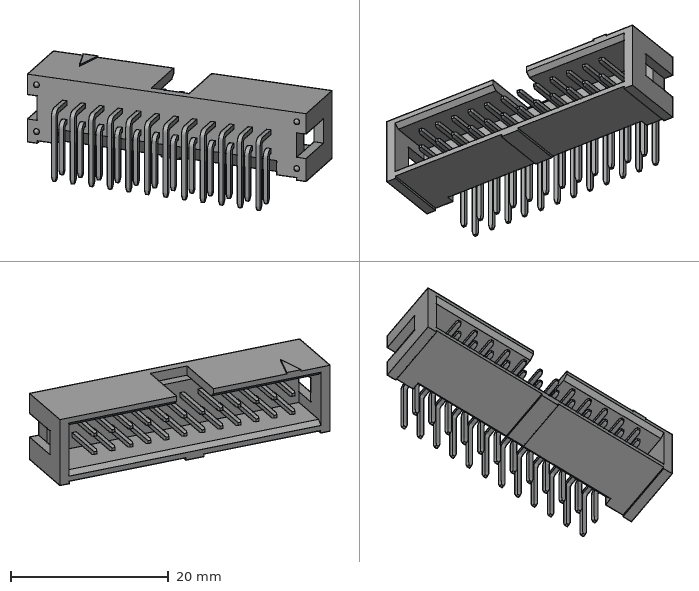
import cadquery as cq

LENGTH = 38.1
DEPTH = 8.9
FOOT_HEIGHT = 0.35
SHELL_HEIGHT = 8.88
WALL = 1.3
FLOOR_THICKNESS = 2.5
MID_Z = FOOT_HEIGHT + SHELL_HEIGHT / 2
TOP_Z = FOOT_HEIGHT + SHELL_HEIGHT
FOOT_LENGTH = 1.35
MIDDLE_FOOT_LENGTH = 2.55

BEVEL_DEPTH = 0.7
BEVEL_RISE = 0.57

KEY_WIDTH = 5.2
KEY_DEPTH = 7.7
SIDE_SLOT_HEIGHT = 3.3
SIDE_SLOT_LENGTH = 5.95
RELIEF_LENGTH = 30.02
RELIEF_HEIGHT = 1.95
RELIEF_TOP_Z = FOOT_HEIGHT + RELIEF_HEIGHT
RELIEF_DEPTH = 1.35

ARROW_WIDTH = 2.02
ARROW_LENGTH = 3.9
ARROW_HEIGHT = 0.2
BUMP_RADIUS = 0.4
BUMP_EDGE_OFFSET = 1.25

PIN_COLUMNS = 12
PIN_SPAN = 27.93
PIN_PITCH = PIN_SPAN / (PIN_COLUMNS - 1)
PIN_WIDTH = 0.6
PIN_END_GAP = 0.15
PIN_BOTTOM_Z = -3.35
LEG_TIP_LENGTH = 0.57
CONTACT_TIP_LENGTH = 0.4
TIP_WIDTH = 0.4
LEG_REACH = 3.75
OUTER_LEG_Y = PIN_WIDTH / 2 - LEG_REACH
INNER_LEG_Y = OUTER_LEG_Y + PIN_PITCH
BEND_RADIUS = 0.65


def block(x_size, y_range, z_range, x_centre=0.0):
    """Box given by its X size and centre and by its Y and Z limits."""
    y_low, y_high = y_range
    z_low, z_high = z_range
    return cq.Workplane("XY").box(
        x_size, y_high - y_low, z_high - z_low, centered=(True, False, False)
    ).translate((x_centre, y_low, z_low))


def make_shell():
    """Box with feet, open at the mating face, which has a bevelled rim above and below."""
    shell = block(LENGTH, (0, DEPTH), (FOOT_HEIGHT, TOP_Z))
    end_foot_x = (LENGTH - FOOT_LENGTH) / 2
    feet = ((-end_foot_x, FOOT_LENGTH), (0, MIDDLE_FOOT_LENGTH), (end_foot_x, FOOT_LENGTH))
    for x, foot_length in feet:
        shell = shell.union(block(foot_length, (0, DEPTH), (0, FOOT_HEIGHT + WALL / 2), x))

    half_cavity = SHELL_HEIGHT / 2 - WALL
    half_mouth = half_cavity + BEVEL_RISE
    bevel_y = DEPTH - BEVEL_DEPTH
    cavity = (
        cq.Workplane("YZ")
        .moveTo(FLOOR_THICKNESS, MID_Z - half_cavity)
        .lineTo(bevel_y, MID_Z - half_cavity)
        .lineTo(DEPTH, MID_Z - half_mouth)
        .lineTo(DEPTH, MID_Z + half_mouth)
        .lineTo(bevel_y, MID_Z + half_cavity)
        .lineTo(FLOOR_THICKNESS, MID_Z + half_cavity)
        .close()
        .extrude(LENGTH / 2 - WALL, both=True)
    )
    return shell.cut(cavity)


def cut_openings(shell):
    """Key notch in the top wall, a slot at each end and the sloped relief under the legs."""
    key = block(KEY_WIDTH, (DEPTH - KEY_DEPTH, DEPTH), (TOP_Z - WALL, TOP_Z))
    shell = shell.cut(key)

    slot_z = (MID_Z - SIDE_SLOT_HEIGHT / 2, MID_Z + SIDE_SLOT_HEIGHT / 2)
    for side in (-1, 1):
        slot_x = side * (LENGTH - WALL) / 2
        shell = shell.cut(block(WALL, (0, SIDE_SLOT_LENGTH), slot_z, slot_x))

    relief = (
        cq.Workplane("YZ")
        .polyline([(0, RELIEF_TOP_Z), (RELIEF_DEPTH, 0), (0, 0)])
        .close()
        .extrude(RELIEF_LENGTH / 2, both=True)
    )
    return shell.cut(relief)


def make_arrow():
    """Flat triangle on the top wall marking the first contact column."""
    return (
        cq.Workplane("XY", origin=(-PIN_SPAN / 2, DEPTH, TOP_Z))
        .polyline([(-ARROW_WIDTH / 2, 0), (ARROW_WIDTH / 2, 0), (0, -ARROW_LENGTH)])
        .close()
        .extrude(ARROW_HEIGHT)
    )


def add_bumps(body):
    """Hemispherical standoff at each corner of the terminal face."""
    bump_x = LENGTH / 2 - BUMP_EDGE_OFFSET
    bump_z = SHELL_HEIGHT / 2 - BUMP_EDGE_OFFSET
    for x in (-bump_x, bump_x):
        for z in (MID_Z - bump_z, MID_Z + bump_z):
            body = body.union(cq.Workplane("XY").sphere(BUMP_RADIUS).translate((x, 0, z)))
    return body


def make_tip(base, length):
    """Tapered square end growing from the base plane, against its normal."""
    return (
        base.rect(PIN_WIDTH, PIN_WIDTH)
        .workplane(offset=-length)
        .rect(TIP_WIDTH, TIP_WIDTH)
        .loft()
    )


def make_pin(row_z, leg_y):
    """Square right-angle contact at X = 0 with tapered ends."""
    contact_end = DEPTH - PIN_END_GAP - CONTACT_TIP_LENGTH
    leg_end = PIN_BOTTOM_Z + LEG_TIP_LENGTH
    path = (
        cq.Workplane("YZ")
        .moveTo(contact_end, row_z)
        .lineTo(leg_y + BEND_RADIUS, row_z)
        .radiusArc((leg_y, row_z - BEND_RADIUS), -BEND_RADIUS)
        .lineTo(leg_y, leg_end)
    )
    wire = (
        cq.Workplane("XZ", origin=(0, contact_end, row_z))
        .rect(PIN_WIDTH, PIN_WIDTH)
        .sweep(path)
    )
    contact_tip = make_tip(
        cq.Workplane("XZ", origin=(0, contact_end, row_z)), CONTACT_TIP_LENGTH
    )
    leg_tip = make_tip(cq.Workplane("XY", origin=(0, leg_y, leg_end)), LEG_TIP_LENGTH)
    return wire.union(contact_tip).union(leg_tip)


def add_pins(body):
    """Two rows of contacts; the upper row has its legs farther out."""
    upper_pin = make_pin(MID_Z + PIN_PITCH / 2, OUTER_LEG_Y)
    lower_pin = make_pin(MID_Z - PIN_PITCH / 2, INNER_LEG_Y)
    for column in range(PIN_COLUMNS):
        offset = (column * PIN_PITCH - PIN_SPAN / 2, 0, 0)
        body = body.union(upper_pin.translate(offset)).union(lower_pin.translate(offset))
    return body


housing = cut_openings(make_shell()).union(make_arrow())
result = add_pins(add_bumps(housing))